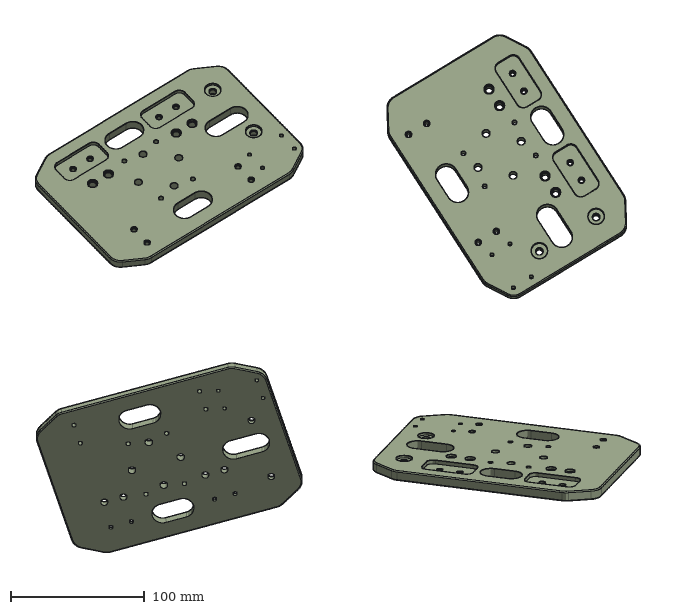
import cadquery as cq
import math

width = 125.0
length = 180.0
thickness = 8.0
corner_cut_x = 12.8
corner_cut_angle = 60
corner_cut_y = corner_cut_x * math.tan(math.radians(corner_cut_angle))
corner_radius = 10.0
edge_chamfer = 0.9

slot_width = 16.0
slot_angle = 90
side_slot_length = 32.0
side_slot_x = 42.0
top_slot_length = 36.0
top_slot_center = (-5.5, 58.5)

pattern_center_y = -10.0
bolt_circle_radius = 19.0
bolt_hole_diameter = 5.5
frame_hole_diameter = 3.2
frame_size = (45.0, 30.0)

pocket_x = -41.8
pocket_centers_y = (30.6, -50.5)
pocket_size = (20.0, 40.0)
pocket_corner_radius = 5.0
pocket_depth = 3.0

small_hole_diameter = 3.0
small_step_diameter = 4.5
small_step_depth = 1.3
small_hole_pitch = 16.0
right_pair_x = 41.5
right_pairs_y = (39.0, -59.2)

medium_hole_diameter = 5.2
medium_step_diameter = 7.2
medium_step_depth = 1.8
medium_hole_pitch = 15.0
medium_hole_x = -20.0
medium_pairs_y = (29.5, -49.5)

bore_hole_diameter = 5.0
bore_step_diameter = 5.4
bore_step_depth = 1.5
bore_diameter = 12.0
bore_depth = 2.0
bore_pitch = 50.0
bore_pair_center = (-10.8, 68.8)

pin_hole_diameter = 2.5
pin_frame_size = (15.8, 30.0)
pin_frame_center = (38.0, 67.7)

rim_chamfer = 0.25


def pair_x(center, pitch):
    """Two points spaced along X about a center."""
    x, y = center
    return [(x - pitch / 2, y), (x + pitch / 2, y)]


def pair_y(center, pitch):
    """Two points spaced along Y about a center."""
    x, y = center
    return [(x, y - pitch / 2), (x, y + pitch / 2)]


def rectangle_corners(center, size):
    """The four corners of a rectangle about a center."""
    x, y = center
    return pair_x((x, y - size[1] / 2), size[0]) + pair_x((x, y + size[1] / 2), size[0])


def on_top(body, points):
    """Workplane on the top face of the plate holding the given points."""
    return body.faces(">Z").workplane(origin=(0, 0, thickness)).pushPoints(points)


def make_plate():
    """Rectangle with steep corner cuts, rounded vertices and chamfered rims."""
    half_x = width / 2
    half_y = length / 2
    cut_x = half_x - corner_cut_x
    cut_y = half_y - corner_cut_y
    outline = [
        (half_x, -cut_y), (half_x, cut_y), (cut_x, half_y), (-cut_x, half_y),
        (-half_x, cut_y), (-half_x, -cut_y), (-cut_x, -half_y), (cut_x, -half_y),
    ]
    plate = cq.Workplane("XY").polyline(outline).close().extrude(thickness)
    plate = plate.edges("|Z").fillet(corner_radius)
    return plate.faces("<Z or >Z").chamfer(edge_chamfer)


def cut_slots(body):
    side_slots = pair_x((0, pattern_center_y), 2 * side_slot_x)
    body = on_top(body, side_slots).slot2D(side_slot_length, slot_width, slot_angle).cutThruAll()
    return on_top(body, [top_slot_center]).slot2D(top_slot_length, slot_width, slot_angle).cutThruAll()


def cut_pockets(body):
    for y in pocket_centers_y:
        pocket = (
            cq.Workplane("XY", origin=(pocket_x, y, thickness))
            .rect(*pocket_size)
            .extrude(-pocket_depth)
            .edges("|Z")
            .fillet(pocket_corner_radius)
        )
        body = body.cut(pocket)
    return body


def cut_plain_holes(body):
    bolt_center = (0, pattern_center_y)
    bolt_spacing = 2 * bolt_circle_radius
    bolt_points = pair_x(bolt_center, bolt_spacing) + pair_y(bolt_center, bolt_spacing)
    body = on_top(body, bolt_points).hole(bolt_hole_diameter)
    body = on_top(body, rectangle_corners(bolt_center, frame_size)).hole(frame_hole_diameter)
    return on_top(body, rectangle_corners(pin_frame_center, pin_frame_size)).hole(pin_hole_diameter)


def cut_stepped(body, points, surface_z, diameter, step_diameter, step_depth):
    """Through holes with a wider cylindrical step below the surface at surface_z."""
    mouths = cq.Workplane("XY", origin=(0, 0, surface_z)).pushPoints(points)
    body = body.cut(mouths.circle(diameter / 2).extrude(-surface_z))
    return body.cut(mouths.circle(step_diameter / 2).extrude(-step_depth))


def cut_small_holes(body):
    sizes = (small_hole_diameter, small_step_diameter, small_step_depth)
    for y in pocket_centers_y:
        points = pair_y((pocket_x, y), small_hole_pitch)
        body = cut_stepped(body, points, thickness - pocket_depth, *sizes)
    for y in right_pairs_y:
        points = pair_x((right_pair_x, y), small_hole_pitch)
        body = cut_stepped(body, points, thickness, *sizes)
    return body


def cut_medium_holes(body):
    sizes = (medium_hole_diameter, medium_step_diameter, medium_step_depth)
    for y in medium_pairs_y:
        points = pair_y((medium_hole_x, y), medium_hole_pitch)
        body = cut_stepped(body, points, thickness, *sizes)
    return body


def cut_bores(body):
    """Blind counterbores with a narrower step in the floor."""
    points = pair_x(bore_pair_center, bore_pitch)
    mouths = cq.Workplane("XY", origin=(0, 0, thickness)).pushPoints(points)
    body = body.cut(mouths.circle(bore_diameter / 2).extrude(-bore_depth))
    return body.cut(mouths.circle(bore_step_diameter / 2).extrude(-bore_depth - bore_step_depth))


def drill_bores(body):
    """Holes that carry the bores through the plate."""
    return on_top(body, pair_x(bore_pair_center, bore_pitch)).hole(bore_hole_diameter)


def break_mouths(body):
    """Fine chamfer on the upper rim of every opening, recess floors included."""
    rims = []
    for face in body.faces("+Z").vals():
        for wire in face.innerWires():
            rims.extend(wire.Edges())
    return body.newObject(rims).chamfer(rim_chamfer)


result = make_plate()
result = cut_slots(result)
result = cut_pockets(result)
result = cut_small_holes(result)
result = cut_medium_holes(result)
result = cut_bores(result)
result = cut_plain_holes(result)
result = break_mouths(result)
result = drill_bores(result)